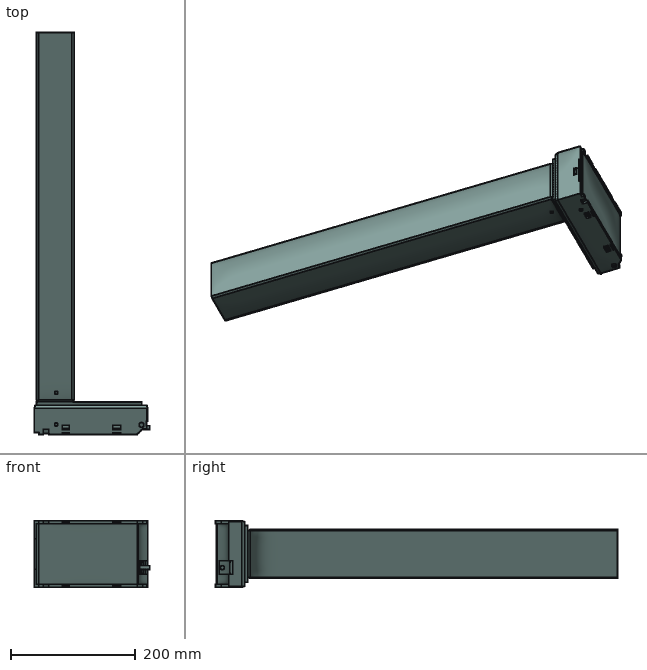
import cadquery as cq
import math

TOTAL_DEPTH = 645.0
TOTAL_WIDTH = 186.0

HOUSING_WIDTH = 182.5
HOUSING_HEIGHT = 107.0
HALF_HEIGHT = HOUSING_HEIGHT / 2
HOUSING_BACK = 47.0
BACK_BEVEL_DEPTH = 5.0
BACK_BEVEL_INSET = 2.0
END_CHAMFER = 2.0

RIM_THICKNESS = 5.0
PANEL_SETBACK = 1.6
PANEL_START = 8.0
LEDGE_SETBACK = 4.5
WALL_THICKNESS = 4.0
WALL_SETBACK = 3.0
WALL_RECESS_SETBACK = 5.0
WALL_RECESS_HEIGHT = 49.0

PANEL_END = 167.0
PANEL_STEP_SETBACK = 3.0
SLOPE_START = 165.0
SLOPE_END = 174.0
END_SETBACK = 9.0
FLOOR_SETBACK = 21.0
FRONT_END_INSET = 2.0

PIN_Z = -22.0
PIN_Y = 11.0
PIN_RADIUS = 3.0
BOSS_END = 169.5
BOSS_FRONT = 6.0
POCKET_HEIGHT = 21.0
POCKET_BACK = 28.0
POCKET_BORDER = 2.0
RIB_START = 175.0
RIB_END = 178.0
RIB_FRONT = 23.0

SLOT_SPANS = [(45.0, 57.0), (126.5, 139.0)]
SLOT_FRONT = 8.0
SLOT_BACK = 15.0
SLOT_DEPTH = 6.5
SLOT_LAND_DEPTH = 2.0
SLOT_LAND_LENGTH = 2.5
RIM_NOTCH_DEPTH = 3.0
RIM_NOTCH_HEIGHT = 2.5
CORNER_NOTCH_START = 15.0
CORNER_NOTCH_WIDTH = 9.0
CORNER_NOTCH_DEPTH = 8.5
SMALL_HOLE_X = 35.5
SMALL_HOLE_Y = 16.0
SMALL_HOLE_RADIUS = 2.5
SCREW_HOLE_X = 172.0
SCREW_HOLE_Y = 15.5
SCREW_HOLE_RADIUS = 4.0
HOLE_DEPTH = 3.0

SIDE_SLOT_FRONT = 9.0
SIDE_SLOT_BACK = 14.0
SIDE_SLOT_HEIGHT = 14.0

LIP_START = 4.0
LIP_END = 173.0
LIP_HEIGHT = 91.5
LIP_BACK = 52.0

POST_START = 4.0
POST_END = 64.5
POST_HEIGHT = 79.0
POST_FRONT = LIP_BACK
POST_CHAMFER_X = 4.0
POST_CHAMFER_Z = 2.0
POST_BEVEL_DEPTH = 4.0
POST_BEVEL_INSET = 2.0
POST_HOLE_Y = 67.0


def block(x_range, y_range, z_range):
    """Box between two limits on each axis."""
    (x0, x1), (y0, y1), (z0, z1) = x_range, y_range, z_range
    return cq.Workplane("XY").box(x1 - x0, y1 - y0, z1 - z0, centered=False).translate((x0, y0, z0))


def centred(height, middle=0.0):
    """Z limits of a feature with the given height about a middle level."""
    return (middle - height / 2, middle + height / 2)


def on_top_and_bottom(feature):
    """The feature together with its mirror image below the middle height."""
    return feature.union(feature.mirror("XY"))


def blind_hole(x, y, radius, surface_z):
    """Cutter for a hole going down from a top surface."""
    return cq.Workplane("XY", origin=(x, y, surface_z)).circle(radius).extrude(-HOLE_DEPTH)


def bevelled_end(x_range, height, base_y, direction, depth, inset):
    """Tapered slab from a rectangle at base_y, narrowing by the inset on every side over the depth."""
    x0, x1 = x_range
    plane = cq.Plane(origin=((x0 + x1) / 2, base_y, 0), xDir=(1, 0, 0), normal=(0, direction, 0))
    taper = math.degrees(math.atan(inset / depth))
    return cq.Workplane(plane).rect(x1 - x0, height).extrude(depth, taper=taper)


def housing_block():
    """Block with bevelled rear edges, a chamfered right end and a sloped front right corner."""
    x_range = (0, HOUSING_WIDTH)
    bevel_start = HOUSING_BACK - BACK_BEVEL_DEPTH
    body = (
        block(x_range, (0, bevel_start), centred(HOUSING_HEIGHT))
        .edges(">X and |Y")
        .chamfer(END_CHAMFER)
    )
    back = bevelled_end(x_range, HOUSING_HEIGHT, bevel_start, 1, BACK_BEVEL_DEPTH, BACK_BEVEL_INSET)
    step_x = HOUSING_WIDTH - FRONT_END_INSET
    plan = (
        cq.Workplane("XY", origin=(0, 0, -HALF_HEIGHT))
        .polyline([
            (0, 0),
            (SLOPE_START, 0),
            (SLOPE_END, END_SETBACK),
            (step_x, END_SETBACK),
            (step_x, FLOOR_SETBACK),
            (HOUSING_WIDTH, FLOOR_SETBACK),
            (HOUSING_WIDTH, HOUSING_BACK),
            (0, HOUSING_BACK),
        ])
        .close()
        .extrude(HOUSING_HEIGHT)
    )
    return body.union(back).intersect(plan)


def front_face_cutters():
    """Set-backs of the panel and its end step, the ledge, the left wall and the floor at the right end."""
    inner_z = centred(HOUSING_HEIGHT - 2 * RIM_THICKNESS)
    panel = block((PANEL_START, PANEL_END), (0, PANEL_SETBACK), inner_z)
    panel_step = block((SLOPE_START, PANEL_END), (0, PANEL_STEP_SETBACK), inner_z)
    ledge = block((WALL_THICKNESS, PANEL_START), (0, LEDGE_SETBACK), inner_z)
    wall = block((0, PANEL_START), (0, WALL_SETBACK), centred(HOUSING_HEIGHT))
    wall_recess = block((0, WALL_THICKNESS), (0, WALL_RECESS_SETBACK), centred(WALL_RECESS_HEIGHT))
    floor = block((PANEL_END, HOUSING_WIDTH), (0, FLOOR_SETBACK), inner_z)
    return [panel, panel_step, ledge, wall, wall_recess, floor]


def top_slot(x_range):
    """Slot with a level front floor that then slopes down to the back, and the rim notch ahead of it."""
    x0, x1 = x_range
    slot = (
        cq.Workplane("YZ", origin=(x0, 0, 0))
        .polyline([
            (SLOT_FRONT, HALF_HEIGHT),
            (SLOT_FRONT, HALF_HEIGHT - SLOT_LAND_DEPTH),
            (SLOT_FRONT + SLOT_LAND_LENGTH, HALF_HEIGHT - SLOT_LAND_DEPTH),
            (SLOT_BACK, HALF_HEIGHT - SLOT_DEPTH),
            (SLOT_BACK, HALF_HEIGHT),
        ])
        .close()
        .extrude(x1 - x0)
    )
    notch = block(x_range, (0, RIM_NOTCH_DEPTH), (HALF_HEIGHT - RIM_NOTCH_HEIGHT, HALF_HEIGHT))
    return slot.union(notch)


def top_face_cutters():
    """Slots, rim notches and blind holes of the top and bottom faces."""
    cutters = [top_slot(span) for span in SLOT_SPANS]
    cutters.append(block(
        (CORNER_NOTCH_START, CORNER_NOTCH_START + CORNER_NOTCH_WIDTH),
        (0, CORNER_NOTCH_DEPTH),
        (HALF_HEIGHT - RIM_THICKNESS, HALF_HEIGHT),
    ))
    cutters.append(blind_hole(SMALL_HOLE_X, SMALL_HOLE_Y, SMALL_HOLE_RADIUS, HALF_HEIGHT))
    cutters.append(blind_hole(SCREW_HOLE_X, SCREW_HOLE_Y, SCREW_HOLE_RADIUS, HALF_HEIGHT))
    return [on_top_and_bottom(cutter) for cutter in cutters]


def side_slot():
    """Shallow slot in the left wall."""
    return block((0, WALL_THICKNESS), (SIDE_SLOT_FRONT, SIDE_SLOT_BACK), centred(SIDE_SLOT_HEIGHT))


def pin_pocket():
    """Pocket around the pin, open to the right end, with a bordered inner part and a cross rib."""
    y_range = (0, POCKET_BACK)
    outer = block((RIB_END, HOUSING_WIDTH), y_range, centred(POCKET_HEIGHT, PIN_Z))
    shelf = block((BOSS_END, RIB_END), (0, RIB_FRONT), centred(POCKET_HEIGHT, PIN_Z))
    window_height = POCKET_HEIGHT - 2 * POCKET_BORDER
    window = block((BOSS_END + POCKET_BORDER, RIB_START), y_range, centred(window_height, PIN_Z))
    return outer.union(shelf).union(window)


def pin():
    """Round pin standing out of the right end, with a flat boss at its root."""
    shaft = (
        cq.Workplane("YZ", origin=(PANEL_END, PIN_Y, PIN_Z))
        .circle(PIN_RADIUS)
        .extrude(TOTAL_WIDTH - PANEL_END)
    )
    boss = block((PANEL_END, BOSS_END), (BOSS_FRONT, FLOOR_SETBACK), centred(POCKET_HEIGHT, PIN_Z))
    return shaft.union(boss)


def post_seat():
    """Raised lip on the back of the housing that carries the post."""
    return block((LIP_START, LIP_END), (HOUSING_BACK, LIP_BACK), centred(LIP_HEIGHT))


def make_housing():
    body = housing_block()
    for cutter in front_face_cutters() + top_face_cutters() + [side_slot(), pin_pocket()]:
        body = body.cut(cutter)
    return body.union(pin()).union(post_seat())


def make_post():
    """Long bar with chamfered long edges, a bevelled front end and a blind hole above and below."""
    x_range = (POST_START, POST_END)
    bevel_back = POST_FRONT + POST_BEVEL_DEPTH
    half = POST_HEIGHT / 2
    flat_start = POST_START + POST_CHAMFER_X
    flat_end = POST_END - POST_CHAMFER_X
    side_top = half - POST_CHAMFER_Z
    bar = (
        cq.Workplane("XZ", origin=(0, POST_FRONT, 0))
        .polyline([
            (flat_start, half),
            (flat_end, half),
            (POST_END, side_top),
            (POST_END, -side_top),
            (flat_end, -half),
            (flat_start, -half),
            (POST_START, -side_top),
            (POST_START, side_top),
        ])
        .close()
        .extrude(POST_FRONT - TOTAL_DEPTH)
    )
    front = bevelled_end(x_range, POST_HEIGHT, bevel_back, -1, POST_BEVEL_DEPTH, POST_BEVEL_INSET)
    envelope = block(x_range, (bevel_back, TOTAL_DEPTH), centred(POST_HEIGHT)).union(front)
    hole = blind_hole(SMALL_HOLE_X, POST_HOLE_Y, SMALL_HOLE_RADIUS, half)
    return bar.intersect(envelope).cut(on_top_and_bottom(hole))


housing = make_housing()
post = make_post()

result = cq.Compound.makeCompound([housing.val(), post.val()])